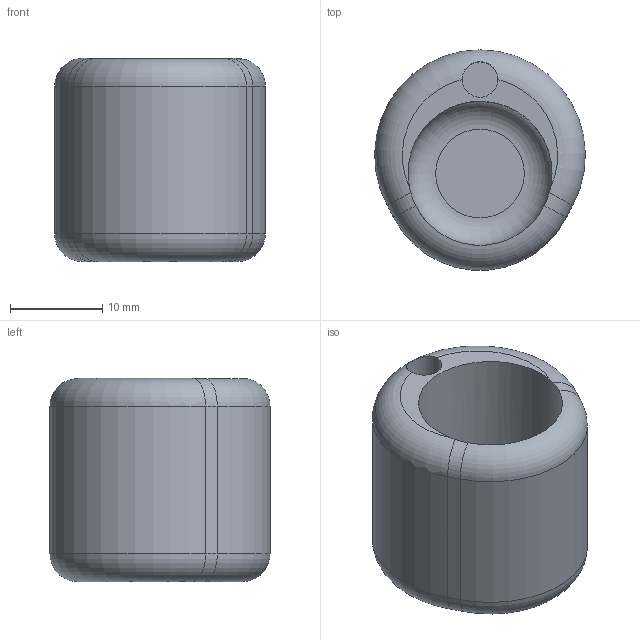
import cadquery as cq
import math

height = 22.0
large_radius = 11.41
overall_depth = 23.87
small_radius = 10.5
small_offset = overall_depth - large_radius - small_radius
flank_radius = 50.0
rim_fillet = 3.0

bore_diameter = 15.6
bore_floor_fillet = 3.0

pin_diameter = 3.85
pin_offset = 8.2

floor_thickness = 3.0


def on_circle(radius, center_y, angle):
    return (radius * math.cos(angle), center_y + radius * math.sin(angle))


def mirrored(point):
    return (-point[0], point[1])


def make_outline():
    to_large = large_radius + flank_radius
    to_small = small_radius + flank_radius
    flank_y = -(to_large**2 - to_small**2 + small_offset**2) / (2 * small_offset)
    flank_x = math.sqrt(to_large**2 - flank_y**2)

    large_angle = math.atan2(flank_y, flank_x)
    small_angle = math.atan2(flank_y + small_offset, flank_x)
    middle_angle = math.pi + (large_angle + small_angle) / 2

    upper = on_circle(large_radius, 0, large_angle)
    lower = on_circle(small_radius, -small_offset, small_angle)
    flank_middle = (
        flank_x + flank_radius * math.cos(middle_angle),
        flank_y + flank_radius * math.sin(middle_angle),
    )
    return (
        cq.Workplane("XY")
        .moveTo(*upper)
        .threePointArc((0, large_radius), mirrored(upper))
        .threePointArc(mirrored(flank_middle), mirrored(lower))
        .threePointArc((0, -small_offset - small_radius), lower)
        .threePointArc(flank_middle, upper)
        .close()
    )


def make_body():
    return make_outline().extrude(height).faces("<Z or >Z").edges().fillet(rim_fillet)


def make_blind_hole(diameter, center_y):
    return (
        cq.Workplane("XY", origin=(0, center_y, floor_thickness))
        .circle(diameter / 2)
        .extrude(height - floor_thickness)
    )


def make_bore():
    bore = make_blind_hole(bore_diameter, -small_offset)
    return bore.faces("<Z").edges().fillet(bore_floor_fillet)


result = make_body().cut(make_bore()).cut(make_blind_hole(pin_diameter, pin_offset))